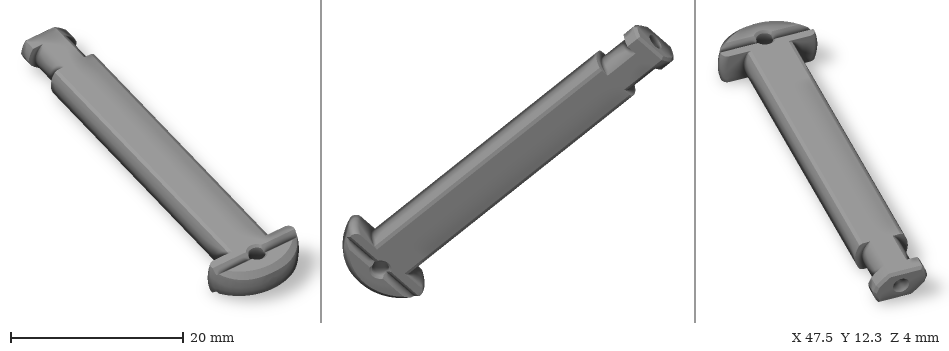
import cadquery as cq
import math

total_length = 47.5
thickness = 4.0
half_thickness = thickness / 2

tip_length = 1.9
tip_radius = 3.35
tip_chamfer = 0.35
cam_flat_edge = 1.4
cam_shoulder = (3.0, 0.6)
cam_bulge = (2.2, 1.4)
cam_end_height = -0.25
tip_hole_diameter = 2.0
tip_hole_cone_angle = 60.0

neck_radius = 2.4
shaft_start = 6.35
shaft_radius = 3.3
shaft_bevel_drop = 0.2
shaft_flat_half_width = 2.35

head_start = 42.5
head_radius = 6.15
head_fillet = 0.75
nose_flat_radius = 0.55
bevel_edge_nose = 46.8
bevel_edge_radius = 6.35
groove_position = 44.18
groove_depth = 0.65
head_hole_diameter = 2.0
head_hole_chamfer = 0.3


def circle_offset(radius, distance):
    """Half chord of a circle at the given distance from its centre."""
    return math.sqrt(radius**2 - distance**2)


def flat_slab(start, end):
    """Slab between the two flat faces, wide enough for every section."""
    length = end - start
    slab = cq.Workplane("XY").box(length, 3 * head_radius, thickness)
    return slab.translate((start + length / 2, 0, 0))


def opposite(point):
    """Point turned by half a revolution about the pin axis."""
    return (-point[0], -point[1])


def make_tip():
    flat_start = (cam_flat_edge, half_thickness)
    cam_end = (circle_offset(tip_radius, cam_end_height), cam_end_height)
    round_middle = (circle_offset(tip_radius, half_thickness / 2), -half_thickness / 2)
    round_end = (circle_offset(tip_radius, half_thickness), -half_thickness)
    outline = (
        cq.Workplane("YZ")
        .moveTo(*flat_start)
        .threePointArc(cam_bulge, cam_shoulder)
        .lineTo(*cam_end)
        .threePointArc(round_middle, round_end)
        .lineTo(*opposite(flat_start))
        .threePointArc(opposite(cam_bulge), opposite(cam_shoulder))
        .lineTo(*opposite(cam_end))
        .threePointArc(opposite(round_middle), opposite(round_end))
        .close()
    )
    return outline.extrude(tip_length).faces("<X").chamfer(tip_chamfer)


def make_neck():
    neck = cq.Workplane("YZ").workplane(offset=tip_length).circle(neck_radius)
    neck = neck.extrude(shaft_start - tip_length)
    return neck.intersect(flat_slab(tip_length, shaft_start))


def make_shaft():
    bevel_height = half_thickness - shaft_bevel_drop
    bevel_half_width = circle_offset(shaft_radius, bevel_height)
    return (
        cq.Workplane("YZ")
        .workplane(offset=shaft_start)
        .moveTo(-shaft_flat_half_width, half_thickness)
        .lineTo(shaft_flat_half_width, half_thickness)
        .lineTo(bevel_half_width, bevel_height)
        .threePointArc((shaft_radius, 0), (bevel_half_width, -bevel_height))
        .lineTo(shaft_flat_half_width, -half_thickness)
        .lineTo(-shaft_flat_half_width, -half_thickness)
        .lineTo(-bevel_half_width, -bevel_height)
        .threePointArc((-shaft_radius, 0), (-bevel_half_width, bevel_height))
        .close()
        .extrude(head_start - shaft_start)
    )


def make_head():
    fillet_x = head_start + head_fillet
    fillet_height = head_radius - head_fillet
    run = total_length - fillet_x
    rise = fillet_height - nose_flat_radius
    dome_radius = (run**2 + rise**2 - head_fillet**2) / (2 * (run - head_fillet))
    dome_x = total_length - dome_radius
    blend_angle = math.atan2(rise, fillet_x - dome_x)

    def dome_point(angle):
        return (
            dome_x + dome_radius * math.cos(angle),
            nose_flat_radius + dome_radius * math.sin(angle),
        )

    turned = (
        cq.Workplane("XY")
        .moveTo(head_start, 0)
        .lineTo(head_start, fillet_height)
        .threePointArc(
            (fillet_x - head_fillet * math.sqrt(0.5), fillet_height + head_fillet * math.sqrt(0.5)),
            dome_point(blend_angle),
        )
        .threePointArc(dome_point(blend_angle / 2), dome_point(0))
        .lineTo(total_length, 0)
        .close()
        .revolve(360, (0, 0, 0), (1, 0, 0))
    )
    head = turned.intersect(flat_slab(head_start, total_length))
    return head.cut(make_dome_bevel())


def make_dome_bevel():
    """Material outside the 45 degree bevels along both edges of the dome."""
    reach = thickness
    upper_ring = (
        cq.Workplane("XZ")
        .moveTo(bevel_edge_radius, half_thickness)
        .lineTo(bevel_edge_radius + reach, half_thickness)
        .lineTo(bevel_edge_radius + reach, half_thickness - reach)
        .close()
        .revolve(360, (0, 0, 0), (0, 1, 0))
        .translate((bevel_edge_nose - bevel_edge_radius, 0, 0))
    )
    rings = upper_ring.union(upper_ring.mirror("XY"))
    return rings.intersect(flat_slab(groove_position, total_length))


def make_groove():
    """V groove across the upper face of the head."""
    return (
        cq.Workplane("XZ")
        .moveTo(groove_position - groove_depth, half_thickness)
        .lineTo(groove_position + groove_depth, half_thickness)
        .lineTo(groove_position, half_thickness - groove_depth)
        .close()
        .extrude(1.5 * head_radius, both=True)
    )


def make_head_hole():
    """Cross hole through the head with a chamfered mouth on both faces."""
    radius = head_hole_diameter / 2
    mouth_radius = radius + head_hole_chamfer
    chamfer_start = half_thickness - head_hole_chamfer
    return (
        cq.Workplane("XZ")
        .moveTo(0, half_thickness)
        .lineTo(mouth_radius, half_thickness)
        .lineTo(radius, chamfer_start)
        .lineTo(radius, -chamfer_start)
        .lineTo(mouth_radius, -half_thickness)
        .lineTo(0, -half_thickness)
        .close()
        .revolve(360, (0, 0, 0), (0, 1, 0))
        .translate((groove_position, 0, 0))
    )


def make_tip_hole():
    """Conical center hole in the tip face."""
    radius = tip_hole_diameter / 2
    depth = radius / math.tan(math.radians(tip_hole_cone_angle / 2))
    return (
        cq.Workplane("XY")
        .lineTo(0, radius)
        .lineTo(depth, 0)
        .close()
        .revolve(360, (0, 0, 0), (1, 0, 0))
    )


groove = make_groove()
result = (
    make_tip()
    .union(make_neck())
    .union(make_shaft())
    .union(make_head())
    .cut(groove)
    .cut(groove.mirror("XY"))
    .cut(make_head_hole())
    .cut(make_tip_hole())
)